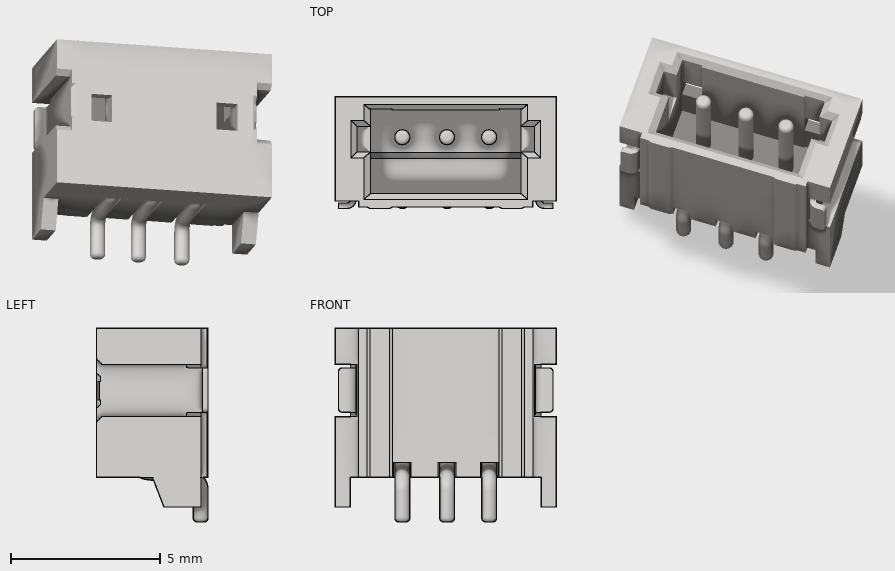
import cadquery as cq
import math


LENGTH = 7.42
DEPTH = 3.5
HEIGHT = 5.0
HALF = LENGTH / 2
FRONT_PANEL_HALF = 2.915
FRONT_PANEL_THICK = 0.2
RIB_RANGE = (1.79, 2.635)
RIB_SLOPE = 0.09
RIB_HEIGHT = 0.045
FRONT_Y = -FRONT_PANEL_THICK - RIB_HEIGHT

LEG_WIDTH = 0.51
LEG_DROP = 0.995
LEG_TOP_DEPTH = 1.625
LEG_TIP_DEPTH = 1.24

CAVITY_HALF = 2.515
CAVITY_FRONT_Y = 0.26
BACK_WALL = 0.45
BACK_RELIEF = 0.045
BACK_PAD_HALF = 1.8
MOUTH_CHAMFER = 0.2
MOUTH_END_FLARE = 0.23
FLOOR_FRONT_Z = 0.8
FLOOR_STEP_Y = 1.43
FLOOR_STEP = 0.2
KEY_HALF = 2.975
KEY_RANGE_Y = (1.655, 2.51)
KEY_FLOOR_Z = 3.08

RECESS_Z = (2.04, 3.785)
RECESS_X = HALF - LEG_WIDTH
RECESS_FLARE = 0.19
WINDOW_Z = (2.24, 3.175)
NICK_Z = (2.31, 3.51)
NICK_SIZE = 0.13
NICK_PAD_Z = (2.59, 3.22)
NICK_PAD_SHIFT = 0.03
NICK_PAD_TOP = 0.06

TAB_Z = (2.18, 3.67)
TAB_THICK = 0.19
TAB_END_X = 3.6
TAB_INNER_RADIUS = 0.11
TAB_CORNER = 0.13
TAB_ROOT_RADIUS = 0.075
SLOT_X = 2.97
SLOT_DEPTH = 0.48

PIN_X = (-1.455, 0.045, 1.455)
PIN_RADIUS = 0.25
PIN_TIP_FILLET = 0.14
PIN_POST_Y = 2.145
PIN_TOP_Z = 4.25
PIN_BOTTOM_Z = -1.5
PIN_LOWER_BEND_Z = -0.41
PIN_BEND = 0.41
PIN_RUN_TILT = 7.0
PIN_FOOT_Y = FRONT_Y + PIN_RADIUS
GROOVE_WIDTH = 0.59
GROOVE_TOP_Z = 0.5


def block(x, y, z):
    """Box from three (low, high) ranges."""
    size = [high - low for low, high in (x, y, z)]
    return cq.Workplane("XY").box(*size, centered=False).translate((x[0], y[0], z[0]))


def both_sides(shape):
    """The shape together with its mirror image across X = 0."""
    return shape.union(shape.mirror("YZ"))


def along_x(points, x):
    """Prism with a (Y, Z) outline over a range of X."""
    return cq.Workplane("YZ", origin=(x[0], 0, 0)).polyline(points).close().extrude(x[1] - x[0])


def along_z(points, z):
    """Prism with an (X, Y) outline over a range of Z."""
    return cq.Workplane("XY", origin=(0, 0, z[0])).polyline(points).close().extrude(z[1] - z[0])


def make_shell():
    shell = block((-HALF, HALF), (0, DEPTH), (0, HEIGHT))
    panel_x = (-FRONT_PANEL_HALF, FRONT_PANEL_HALF)
    shell = shell.union(block(panel_x, (-FRONT_PANEL_THICK, 0), (0, HEIGHT)))
    inner, outer = RIB_RANGE
    rib = along_z(
        [
            (inner, -FRONT_PANEL_THICK),
            (inner + RIB_SLOPE, FRONT_Y),
            (outer - RIB_SLOPE, FRONT_Y),
            (outer, -FRONT_PANEL_THICK),
        ],
        (0, HEIGHT),
    )
    leg = along_x(
        [(0, 0), (LEG_TOP_DEPTH, 0), (LEG_TIP_DEPTH, -LEG_DROP), (0, -LEG_DROP)],
        (RECESS_X, HALF),
    )
    return shell.union(both_sides(rib)).union(both_sides(leg))


def mouth_flare(x, y, end_flare):
    """Lead-in that widens a rectangular opening up to the top face."""
    width = x[1] - x[0]
    depth = y[1] - y[0]
    middle = ((x[0] + x[1]) / 2, (y[0] + y[1]) / 2, HEIGHT - MOUTH_CHAMFER)
    return (
        cq.Workplane("XY", origin=middle)
        .rect(width, depth)
        .workplane(offset=MOUTH_CHAMFER)
        .rect(width + 2 * end_flare, depth + 2 * MOUTH_CHAMFER)
        .loft()
    )


def make_cavity():
    cavity_x = (-CAVITY_HALF, CAVITY_HALF)
    key_x = (-KEY_HALF, KEY_HALF)
    back_y = DEPTH - BACK_WALL
    step_end_y = FLOOR_STEP_Y + FLOOR_STEP
    floor_back_z = FLOOR_FRONT_Z + FLOOR_STEP
    well = along_x(
        [
            (CAVITY_FRONT_Y, HEIGHT),
            (CAVITY_FRONT_Y, FLOOR_FRONT_Z),
            (FLOOR_STEP_Y, FLOOR_FRONT_Z),
            (step_end_y, floor_back_z),
            (back_y, floor_back_z),
            (back_y, HEIGHT),
        ],
        cavity_x,
    )
    relief = block(
        (BACK_PAD_HALF, CAVITY_HALF),
        (back_y, back_y + BACK_RELIEF),
        (floor_back_z, HEIGHT - MOUTH_CHAMFER + BACK_RELIEF),
    )
    key = block(key_x, KEY_RANGE_Y, (KEY_FLOOR_Z, HEIGHT))
    cavity = well.union(both_sides(relief)).union(key)
    cavity = cavity.union(mouth_flare(cavity_x, (CAVITY_FRONT_Y, back_y), MOUTH_END_FLARE))
    return cavity.union(mouth_flare(key_x, KEY_RANGE_Y, MOUTH_CHAMFER))


def make_recess():
    """Cut into the right side: channel, tab slot, back window and corner nick."""
    low, high = RECESS_Z
    flare_y = DEPTH - RECESS_FLARE
    channel = along_x(
        [
            (0, low),
            (flare_y, low),
            (DEPTH, low - RECESS_FLARE),
            (DEPTH, high + RECESS_FLARE),
            (flare_y, high),
            (0, high),
        ],
        (RECESS_X, HALF),
    )
    slot = block((SLOT_X, RECESS_X), (0, SLOT_DEPTH), RECESS_Z)
    window = block((BACK_PAD_HALF, CAVITY_HALF), (DEPTH - BACK_WALL, DEPTH), WINDOW_Z)
    return channel.union(slot).union(window).union(make_nick())


def make_nick():
    """Bevelled corner between the channel and the back face, with a raised middle pad."""
    low, high = NICK_Z
    bevel = along_z(
        [(RECESS_X, DEPTH - NICK_SIZE), (RECESS_X, DEPTH), (RECESS_X - NICK_SIZE, DEPTH)],
        NICK_Z,
    )
    ends = along_x(
        [
            (DEPTH, low),
            (DEPTH, high),
            (DEPTH - NICK_SIZE, high - NICK_SIZE),
            (DEPTH - NICK_SIZE, low + NICK_SIZE),
        ],
        (RECESS_X - NICK_SIZE, RECESS_X),
    )
    pad_reach = NICK_SIZE - NICK_PAD_TOP
    pad = along_z(
        [
            (RECESS_X, DEPTH - NICK_SIZE),
            (RECESS_X, DEPTH - NICK_SIZE + NICK_PAD_SHIFT),
            (RECESS_X - pad_reach + NICK_PAD_SHIFT, DEPTH - NICK_PAD_TOP),
            (RECESS_X - pad_reach, DEPTH - NICK_PAD_TOP),
        ],
        NICK_PAD_Z,
    )
    return bevel.intersect(ends).cut(pad)


def make_tab():
    """Right solder tab: a strip lying in the channel, bent outwards at the front."""
    bend_x = RECESS_X + TAB_INNER_RADIUS
    bend_y = FRONT_Y + TAB_THICK + TAB_INNER_RADIUS
    outer_radius = TAB_INNER_RADIUS + TAB_THICK
    diagonal = math.sqrt(0.5)
    strip = (
        cq.Workplane("XY", origin=(0, 0, TAB_Z[0]))
        .moveTo(RECESS_X, SLOT_DEPTH)
        .lineTo(RECESS_X, bend_y)
        .threePointArc(
            (bend_x - TAB_INNER_RADIUS * diagonal, bend_y - TAB_INNER_RADIUS * diagonal),
            (bend_x, bend_y - TAB_INNER_RADIUS),
        )
        .lineTo(TAB_END_X, bend_y - TAB_INNER_RADIUS)
        .lineTo(TAB_END_X, FRONT_Y)
        .lineTo(bend_x, FRONT_Y)
        .threePointArc(
            (bend_x - outer_radius * diagonal, bend_y - outer_radius * diagonal),
            (RECESS_X - TAB_THICK, bend_y),
        )
        .lineTo(RECESS_X - TAB_THICK, SLOT_DEPTH)
        .close()
        .extrude(TAB_Z[1] - TAB_Z[0])
    )
    strip = strip.faces(">X").edges("|Y").fillet(TAB_CORNER)
    root_y = SLOT_DEPTH - TAB_ROOT_RADIUS
    root_x = (RECESS_X - TAB_THICK, RECESS_X)
    for edge_z, outward in ((TAB_Z[0], -1), (TAB_Z[1], 1)):
        round_z = edge_z + outward * TAB_ROOT_RADIUS
        corner = block(root_x, (root_y, SLOT_DEPTH), sorted((edge_z, round_z)))
        rounding = (
            cq.Workplane("YZ", origin=(root_x[0], 0, 0))
            .center(root_y, round_z)
            .circle(TAB_ROOT_RADIUS)
            .extrude(TAB_THICK)
        )
        strip = strip.union(corner.cut(rounding))
    return strip


def make_pin(x):
    """Round pin: up from the foot, back along a slightly rising run, then up as the post."""
    tilt = math.radians(PIN_RUN_TILT)
    half_turn = (math.pi / 2 + tilt) / 2
    lower_y = PIN_FOOT_Y + PIN_BEND
    upper_y = PIN_POST_Y - PIN_BEND
    bend_rise = (2 * PIN_BEND + (upper_y - lower_y) * math.sin(tilt)) / math.cos(tilt)
    upper_z = PIN_LOWER_BEND_Z + bend_rise

    def lower_point(angle):
        return (lower_y - PIN_BEND * math.sin(angle), PIN_LOWER_BEND_Z + PIN_BEND * math.cos(angle))

    def upper_point(angle):
        return (upper_y + PIN_BEND * math.sin(angle), upper_z - PIN_BEND * math.cos(angle))

    path = (
        cq.Workplane("YZ", origin=(x, 0, 0))
        .moveTo(PIN_FOOT_Y, PIN_BOTTOM_Z)
        .lineTo(PIN_FOOT_Y, PIN_LOWER_BEND_Z)
        .threePointArc(lower_point(half_turn), lower_point(tilt))
        .lineTo(*upper_point(tilt))
        .threePointArc(upper_point(half_turn), (PIN_POST_Y, upper_z))
        .lineTo(PIN_POST_Y, PIN_TOP_Z)
    )
    pin = cq.Workplane("XY", origin=(x, PIN_FOOT_Y, PIN_BOTTOM_Z)).circle(PIN_RADIUS).sweep(path)
    return pin.faces("<Z or >Z").edges().fillet(PIN_TIP_FILLET)


def make_groove(x):
    """Channel in the underside for the forward run of one pin."""
    half_width = GROOVE_WIDTH / 2
    return block((x - half_width, x + half_width), (FRONT_Y, PIN_POST_Y), (0, GROOVE_TOP_Z))


housing = make_shell().cut(make_cavity()).cut(both_sides(make_recess()))
for pin_x in PIN_X:
    housing = housing.cut(make_groove(pin_x))

result = housing.union(both_sides(make_tab()))
for pin_x in PIN_X:
    result = result.union(make_pin(pin_x))